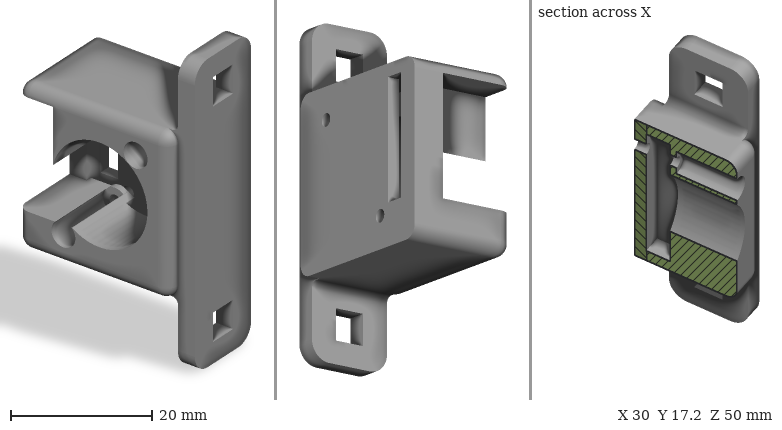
import cadquery as cq
import math


case_size = 27.0
case_depth = 17.25
edge_radius = 2.0
half_case = case_size / 2

cover_thickness = 2.0
window_left_gap = 0.15

side_wall = 3.1
end_wall = 2.0
chamber_depth = 6.0
chamber_top = half_case - end_wall
notch_width = 6.35
notch_back_depth = 5.0
notch_bottom = -7.0
bore_diameter = 17.0
bore_x = 14.6
screw_offset_x = 6.4
screw_offset_z = 8.55
upper_screw = (bore_x + screw_offset_x, screw_offset_z)
lower_screw = (bore_x - screw_offset_x, -screw_offset_z)
screw_diameter = 2.0
counterbore_diameter = 4.25
screw_seat = 1.1

pad_back_depth = 4.0
pad_wall = 0.5
pad_right = lower_screw[0] + counterbore_diameter / 2 + pad_wall

flange_length = 50.0
flange_thickness = 3.0
flange_corner_radius = 3.0
flange_front_depth = case_depth - edge_radius
flange_width = flange_front_depth - cover_thickness
neck_radius = 1.0
square_hole = 4.75
square_hole_from_end = 5.9

cable_diameter = 2.1
cable_z = 6.7
cable_mouth_depth = 5.5
cable_angle = math.radians(45)
cable_length = 10.0


def box_between(x_range, depth_range, z_range):
    """Box given by its limits along X, depth from the back, and Z."""
    x0, x1 = x_range
    d0, d1 = depth_range
    z0, z1 = z_range
    return cq.Workplane("XY").box(x1 - x0, d1 - d0, z1 - z0, centered=False).translate((x0, -d1, z0))


def cylinders(points, diameter, depth_range):
    """Cylinders along Y at the given (x, z) points."""
    d0, d1 = depth_range
    return cq.Workplane("XZ", origin=(0, -d0, 0)).pushPoints(points).circle(diameter / 2).extrude(d1 - d0)


def rounded_block(depth_range):
    """Square block with its four edges along Y rounded."""
    block = box_between((0, case_size), depth_range, (-half_case, half_case))
    return block.edges("|Y").fillet(edge_radius)


def make_flange():
    """Flange with a neck that blends into the top and bottom of the case."""
    depth_range = (cover_thickness, flange_front_depth)
    half_length = flange_length / 2
    plate = box_between(
        (case_size, case_size + flange_thickness), depth_range, (-half_length, half_length)
    ).edges("|X").fillet(flange_corner_radius)
    neck = box_between((case_size - 2 * edge_radius, case_size), depth_range, (-half_case, half_case))
    flange = plate.union(neck)
    inner_corners = cq.selectors.BoxSelector(
        (case_size - neck_radius / 2, -case_depth, -half_case - neck_radius / 2),
        (case_size + neck_radius / 2, 0, half_case + neck_radius / 2),
    )
    flange = flange.edges("|Y").edges(inner_corners).fillet(neck_radius)
    hole_z = half_length - square_hole_from_end
    half_hole = square_hole / 2
    hole_middle = cover_thickness + flange_width / 2
    for z in (-hole_z, hole_z):
        flange = flange.cut(box_between(
            (case_size, case_size + flange_thickness),
            (hole_middle - half_hole, hole_middle + half_hole),
            (z - half_hole, z + half_hole),
        ))
    return flange


def make_cable_passage():
    """Round passage from the side of the chamber, slanting out through the flange."""
    lead_in = cable_diameter / 2 * math.tan(cable_angle)
    start = cq.Vector(
        case_size - side_wall - lead_in * math.cos(cable_angle),
        -cable_mouth_depth - lead_in * math.sin(cable_angle),
        cable_z,
    )
    direction = cq.Vector(math.cos(cable_angle), math.sin(cable_angle), 0)
    return cq.Workplane(cq.Solid.makeCylinder(cable_diameter / 2, cable_length, start, direction))


def make_lower_pad():
    """Corner pad in the chamber, trimmed by the bore, with a round boss under the lower screw seat."""
    pad = box_between(
        (side_wall, pad_right), (pad_back_depth, chamber_depth), (-chamber_top, notch_bottom)
    )
    pad = pad.cut(cylinders([(bore_x, 0)], bore_diameter, (pad_back_depth, chamber_depth)))
    seat_depth = pad_back_depth + screw_seat
    return pad.union(cylinders([lower_screw], counterbore_diameter, (pad_back_depth, seat_depth)))


def make_housing():
    housing = rounded_block((cover_thickness, case_depth)).faces("<Y").edges().fillet(edge_radius)
    housing = housing.union(make_flange())
    chamber = box_between(
        (side_wall, case_size - side_wall), (cover_thickness, chamber_depth), (-chamber_top, chamber_top)
    )
    notch = box_between((0, notch_width), (notch_back_depth, case_depth), (notch_bottom, chamber_top))
    bore_entry = box_between((0, bore_x), (chamber_depth, case_depth), (notch_bottom, 0))
    bore = cylinders([(bore_x, 0)], bore_diameter, (chamber_depth, case_depth))
    for opening in (chamber, notch, bore_entry, bore, make_cable_passage()):
        housing = housing.cut(opening)
    housing = housing.union(make_lower_pad())
    for screw, seat_back in ((upper_screw, chamber_depth), (lower_screw, pad_back_depth)):
        housing = housing.cut(cylinders([screw], screw_diameter, (seat_back, case_depth)))
        housing = housing.cut(
            cylinders([screw], counterbore_diameter, (seat_back + screw_seat, case_depth))
        )
    return housing


def make_cover():
    cover = rounded_block((0, cover_thickness))
    window = box_between(
        (side_wall + window_left_gap, notch_width), (0, cover_thickness), (notch_bottom, chamber_top)
    )
    screw_holes = cylinders([upper_screw, lower_screw], screw_diameter, (0, cover_thickness))
    return cover.cut(window).cut(screw_holes)


housing = make_housing()
cover = make_cover()
result = cq.Compound.makeCompound([housing.solids().val(), cover.solids().val()])